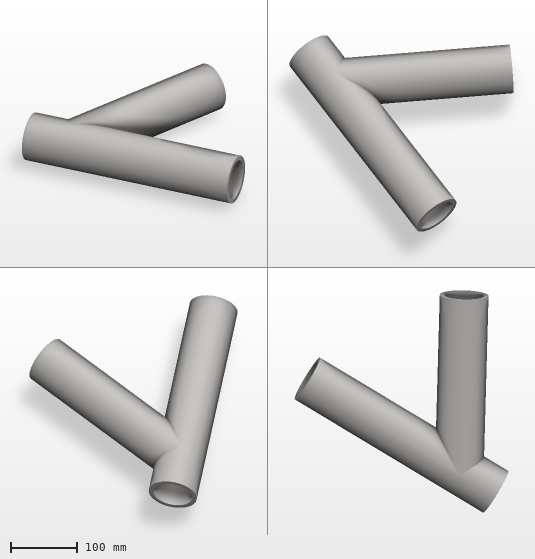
import cadquery as cq

outer_diameter = 73.0
bore_diameter = 59.0
run_length = 330.2
inlet_to_junction = 63.7
branch_length = 266.5
branch_angle = 60.0

run_start = cq.Vector(-inlet_to_junction, 0, 0)
run_direction = cq.Vector(1, 0, 0)
junction = cq.Vector(0, 0, 0)


def wye(diameter):
    """Solid cylinders of one diameter along both pipe axes, joined."""
    radius = diameter / 2
    run = cq.Solid.makeCylinder(radius, run_length, run_start, run_direction)
    branch = cq.Solid.makeCylinder(radius, branch_length, junction, run_direction)
    branch = branch.rotate(junction, cq.Vector(0, 0, 1), branch_angle)
    return cq.Workplane(run).union(cq.Workplane(branch))


result = wye(outer_diameter).cut(wye(bore_diameter))